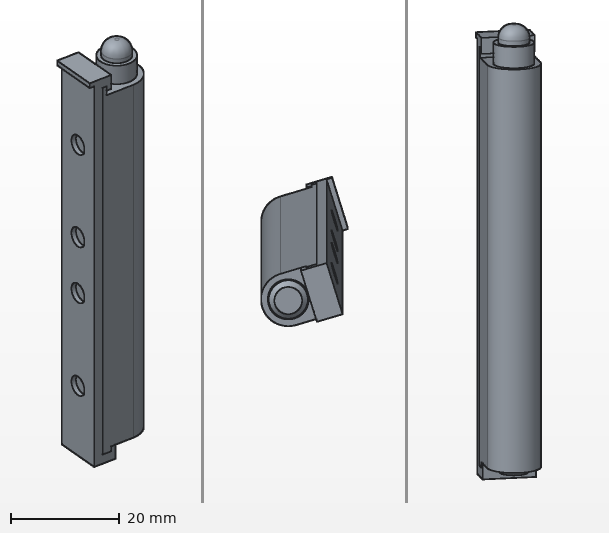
import cadquery as cq

WIDTH = 10.0
HALF_WIDTH = WIDTH / 2

RAIL_HEIGHT = 83.0
RAIL_FRONT_Y = -8.9
RAIL_BACK_Y = -7.0
LIP_FRONT_Y = HALF_WIDTH - 15.0
LIP_THICKNESS = 1.0
TOP_HOOK_BACK_Y = -5.0
TOP_HOOK_BOTTOM_Z = 80.0
BOTTOM_HOOK_BACK_Y = -4.0
SCREW_HOLE_DIAMETER = 4.0
SCREW_HOLE_DEPTH = 1.0
SCREW_HOLE_HEIGHTS = [15.05, 35.0, 47.05, 66.95]

HOUSING_BOTTOM_Z = 3.0
HOUSING_TOP_Z = 79.1
TONGUE_BOTTOM_Z = 2.0
TONGUE_TOP_Z = 81.0
TOP_TONGUE_BACK_Y = -6.05
BOTTOM_TONGUE_BACK_Y = -5.0

PLUNGER_TOP_Z = 86.5
BARREL_DIAMETER = 7.5
BARREL_TOP_Z = RAIL_HEIGHT
BARREL_BOTTOM_Z = TONGUE_BOTTOM_Z
BARREL_CHAMFER = 1.2
TIP_DIAMETER = 5.8
TIP_ROUNDING = 2.5


def extrude_across_width(points):
    """Extrude a closed (Y, Z) outline symmetrically along X."""
    return cq.Workplane("YZ").polyline(points).close().extrude(HALF_WIDTH, both=True)


def make_rail():
    lip_bottom_z = RAIL_HEIGHT - LIP_THICKNESS
    rail = extrude_across_width([
        (RAIL_FRONT_Y, 0),
        (BOTTOM_HOOK_BACK_Y, 0),
        (BOTTOM_HOOK_BACK_Y, HOUSING_BOTTOM_Z),
        (BOTTOM_TONGUE_BACK_Y, HOUSING_BOTTOM_Z),
        (BOTTOM_TONGUE_BACK_Y, TONGUE_BOTTOM_Z),
        (RAIL_BACK_Y, TONGUE_BOTTOM_Z),
        (RAIL_BACK_Y, TONGUE_TOP_Z),
        (TOP_TONGUE_BACK_Y, TONGUE_TOP_Z),
        (TOP_TONGUE_BACK_Y, TOP_HOOK_BOTTOM_Z),
        (TOP_HOOK_BACK_Y, TOP_HOOK_BOTTOM_Z),
        (TOP_HOOK_BACK_Y, RAIL_HEIGHT),
        (LIP_FRONT_Y, RAIL_HEIGHT),
        (LIP_FRONT_Y, lip_bottom_z),
        (RAIL_FRONT_Y, lip_bottom_z),
    ])
    holes = (
        cq.Workplane("XZ", origin=(0, RAIL_FRONT_Y, 0))
        .pushPoints([(0, z) for z in SCREW_HOLE_HEIGHTS])
        .circle(SCREW_HOLE_DIAMETER / 2)
        .extrude(-SCREW_HOLE_DEPTH)
    )
    return rail.cut(holes)


def make_housing(plunger):
    block = extrude_across_width([
        (0, HOUSING_BOTTOM_Z),
        (0, HOUSING_TOP_Z),
        (TOP_TONGUE_BACK_Y, HOUSING_TOP_Z),
        (TOP_TONGUE_BACK_Y, TONGUE_TOP_Z),
        (RAIL_BACK_Y, TONGUE_TOP_Z),
        (RAIL_BACK_Y, TONGUE_BOTTOM_Z),
        (BOTTOM_TONGUE_BACK_Y, TONGUE_BOTTOM_Z),
        (BOTTOM_TONGUE_BACK_Y, HOUSING_BOTTOM_Z),
    ])
    round_back = (
        cq.Workplane("XY", origin=(0, 0, HOUSING_BOTTOM_Z))
        .circle(HALF_WIDTH)
        .extrude(HOUSING_TOP_Z - HOUSING_BOTTOM_Z)
    )
    return block.union(round_back).cut(plunger)


def make_plunger():
    barrel = (
        cq.Workplane("XY", origin=(0, 0, BARREL_BOTTOM_Z))
        .circle(BARREL_DIAMETER / 2)
        .extrude(BARREL_TOP_Z - BARREL_BOTTOM_Z)
        .faces("<Z")
        .chamfer(BARREL_CHAMFER)
    )
    tip = (
        cq.Workplane("XY", origin=(0, 0, BARREL_TOP_Z))
        .circle(TIP_DIAMETER / 2)
        .extrude(PLUNGER_TOP_Z - BARREL_TOP_Z)
        .faces(">Z")
        .edges()
        .fillet(TIP_ROUNDING)
    )
    return barrel.union(tip)


rail = make_rail()
plunger = make_plunger()
housing = make_housing(plunger)

result = cq.Compound.makeCompound([rail.val(), housing.val(), plunger.val()])